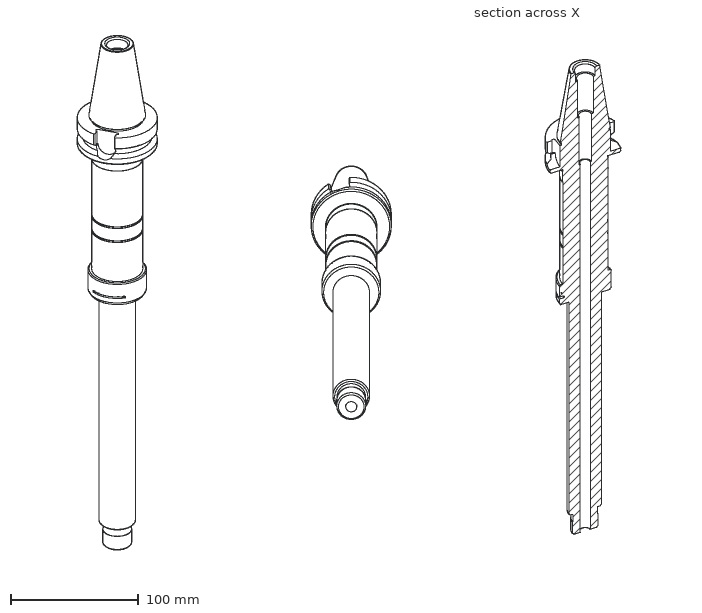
import cadquery as cq
import math

LENGTH = 455.0
FLANGE_D = 63.0

TAPER_TOP_D = 25.5
TAPER_LENGTH = 65.0
TAPER_TOP_CHAMFER = 0.5
TAPER_RATE = 7 / 24
GAUGE_D = TAPER_TOP_D + TAPER_RATE * TAPER_LENGTH
NECK_D = 42.0
NECK_TOP = 66.0

FLANGE_TOP = 67.5
FLANGE_BOTTOM = 92.5
FLANGE_CHAMFER = 1.5
GROOVE_D = 54.5
GROOVE_FLOOR_TOP = 79.5
GROOVE_FLOOR_BOTTOM = 84.0
GROOVE_FLANK_RISE = 2.5

SLOT_WIDTH = 16.0
SLOT_FLOOR = 22.5
SLOT_END = 88.3
SLOT_CHAMFER = 1.15
SLOT_RELIEF_D = 2.7

BODY_D = 40.0
BODY_TOP_D = 40.5
UNDERCUT_D = 39.5
UNDERCUT_END = 93.5
BODY_TOP_END = 104.0
BODY_GROOVES = (155.0, 168.0)
BODY_GROOVE_WIDTH = 1.5
BODY_GROOVE_DEPTH = 0.25

NUT_D = 46.0
NUT_TOP = 204.5
NUT_BOTTOM = 224.5
NUT_TOP_CHAMFER = 1.0
NUT_BOTTOM_CHAMFER = 1.5
NUT_BOTTOM_CHAMFER_HEIGHT = 2.5
NUT_SLIT_TOP = 217.0
NUT_SLIT_HEIGHT = 1.5
NUT_SLIT_FLOOR = 18.5

SHAFT_D = 28.5
SHAFT_END = 435.0
SHAFT_CHAMFER = 1.5
TIP_NECK_D = 22.5
TIP_NECK_END = 441.5
TIP_D = 22.7
TIP_CHAMFER = 1.5

MOUTH_D = 19.5
BORE_D = 17.0
BORE_DEPTH = 9.0
STEP_D = 13.5
STEP_DEPTH = 45.5
TUBE_D = 10.5
TUBE_DEPTH = 92.5
COOLANT_D = 8.5


def disc(diameter, top, bottom):
    """Cylinder about Z between two depths below the top face."""
    return cq.Workplane("XY", origin=(0, 0, LENGTH - bottom)).circle(diameter / 2).extrude(bottom - top)


def revolved(points):
    """Solid of revolution about Z from (diameter, depth) corners, closed along the axis."""
    outline = [(diameter / 2, LENGTH - depth) for diameter, depth in points]
    outline = [(0, outline[0][1])] + outline + [(0, outline[-1][1])]
    return cq.Workplane("XZ").polyline(outline).close().revolve(360, (0, 0, 0), (0, 1, 0))


def taper():
    """Steep taper shank with its relieved neck."""
    return revolved([
        (TAPER_TOP_D - 2 * TAPER_TOP_CHAMFER, 0),
        (TAPER_TOP_D + TAPER_RATE * TAPER_TOP_CHAMFER, TAPER_TOP_CHAMFER),
        (GAUGE_D, TAPER_LENGTH),
        (NECK_D, NECK_TOP),
        (NECK_D, FLANGE_TOP),
    ])


def flange():
    """Gripper flange with its V groove."""
    return revolved([
        (FLANGE_D, FLANGE_TOP),
        (FLANGE_D, GROOVE_FLOOR_TOP - GROOVE_FLANK_RISE),
        (GROOVE_D, GROOVE_FLOOR_TOP),
        (GROOVE_D, GROOVE_FLOOR_BOTTOM),
        (FLANGE_D, GROOVE_FLOOR_BOTTOM + GROOVE_FLANK_RISE),
        (FLANGE_D, FLANGE_BOTTOM - FLANGE_CHAMFER),
        (FLANGE_D - 2 * FLANGE_CHAMFER, FLANGE_BOTTOM),
    ])


def drive_slot(side):
    """Round-ended cutter for the drive slot on the +Y or -Y side."""
    radius = SLOT_WIDTH / 2
    end_center = LENGTH - SLOT_END + radius
    top = LENGTH - FLANGE_TOP
    return (
        cq.Workplane("XZ", origin=(0, side * SLOT_FLOOR, 0))
        .moveTo(-radius, top)
        .lineTo(-radius, end_center)
        .threePointArc((0, end_center - radius), (radius, end_center))
        .lineTo(radius, top)
        .close()
        .extrude(-side * FLANGE_D / 2)
    )


def slot_chamfer(side):
    """Bevel along both outer edges of a drive slot, on the upper part of the flange."""
    half_width = SLOT_WIDTH / 2
    rim = math.sqrt((FLANGE_D / 2) ** 2 - half_width ** 2)
    inner = side * (rim - SLOT_CHAMFER)
    outer = side * (rim + SLOT_CHAMFER)
    wide = half_width + 2 * SLOT_CHAMFER
    return (
        cq.Workplane("XY", origin=(0, 0, LENGTH - GROOVE_FLOOR_TOP))
        .polyline([(-half_width, inner), (half_width, inner), (wide, outer), (-wide, outer)])
        .close()
        .extrude(GROOVE_FLOOR_TOP - FLANGE_TOP)
    )


def slot_reliefs(side):
    """Small round reliefs in the two inner corners of a drive slot."""
    half_width = SLOT_WIDTH / 2
    relief_y = side * (SLOT_FLOOR + SLOT_RELIEF_D / 2)
    relief_bottom = SLOT_END - half_width
    return (
        cq.Workplane("XY", origin=(0, 0, LENGTH - relief_bottom))
        .pushPoints([(-half_width, relief_y), (half_width, relief_y)])
        .circle(SLOT_RELIEF_D / 2)
        .extrude(relief_bottom - FLANGE_TOP)
    )


def body():
    """Cylindrical body with an undercut below the flange and two marking grooves."""
    solid = disc(UNDERCUT_D, FLANGE_BOTTOM, UNDERCUT_END)
    solid = solid.union(disc(BODY_TOP_D, UNDERCUT_END, BODY_TOP_END))
    solid = solid.union(disc(BODY_D, BODY_TOP_END, NUT_TOP))
    for depth in BODY_GROOVES:
        ring = disc(BODY_D, depth, depth + BODY_GROOVE_WIDTH)
        core = disc(BODY_D - 2 * BODY_GROOVE_DEPTH, depth, depth + BODY_GROOVE_WIDTH)
        solid = solid.cut(ring.cut(core))
    return solid


def nut():
    """Chamfered nut with a flat-bottomed cross slit on its -Y side."""
    solid = revolved([
        (NUT_D - 2 * NUT_TOP_CHAMFER, NUT_TOP),
        (NUT_D, NUT_TOP + NUT_TOP_CHAMFER),
        (NUT_D, NUT_BOTTOM - NUT_BOTTOM_CHAMFER_HEIGHT),
        (NUT_D - 2 * NUT_BOTTOM_CHAMFER, NUT_BOTTOM),
    ])
    slit = (
        cq.Workplane("XY", origin=(0, -NUT_SLIT_FLOOR, LENGTH - NUT_SLIT_TOP))
        .box(NUT_D, NUT_D, NUT_SLIT_HEIGHT, centered=(True, False, False))
        .translate((0, -NUT_D, -NUT_SLIT_HEIGHT))
    )
    return solid.cut(slit)


def shaft():
    """Long shaft ending in a necked, chamfered tip."""
    solid = disc(SHAFT_D, NUT_BOTTOM, SHAFT_END).faces("<Z").chamfer(SHAFT_CHAMFER)
    solid = solid.union(disc(TIP_NECK_D, SHAFT_END, TIP_NECK_END))
    return solid.union(disc(TIP_D, TIP_NECK_END, LENGTH).faces("<Z").chamfer(TIP_CHAMFER))


def bore():
    """Stepped axial through bore with a chamfered mouth."""
    return revolved([
        (MOUTH_D, 0),
        (BORE_D, (MOUTH_D - BORE_D) / 2),
        (BORE_D, BORE_DEPTH),
        (STEP_D, BORE_DEPTH),
        (STEP_D, STEP_DEPTH),
        (TUBE_D, STEP_DEPTH),
        (TUBE_D, TUBE_DEPTH),
        (COOLANT_D, TUBE_DEPTH),
        (COOLANT_D, LENGTH),
    ])


result = taper().union(flange()).union(body()).union(nut()).union(shaft())
for side in (-1, 1):
    result = result.cut(drive_slot(side))
    result = result.cut(slot_chamfer(side))
    result = result.cut(slot_reliefs(side))
result = result.cut(bore())